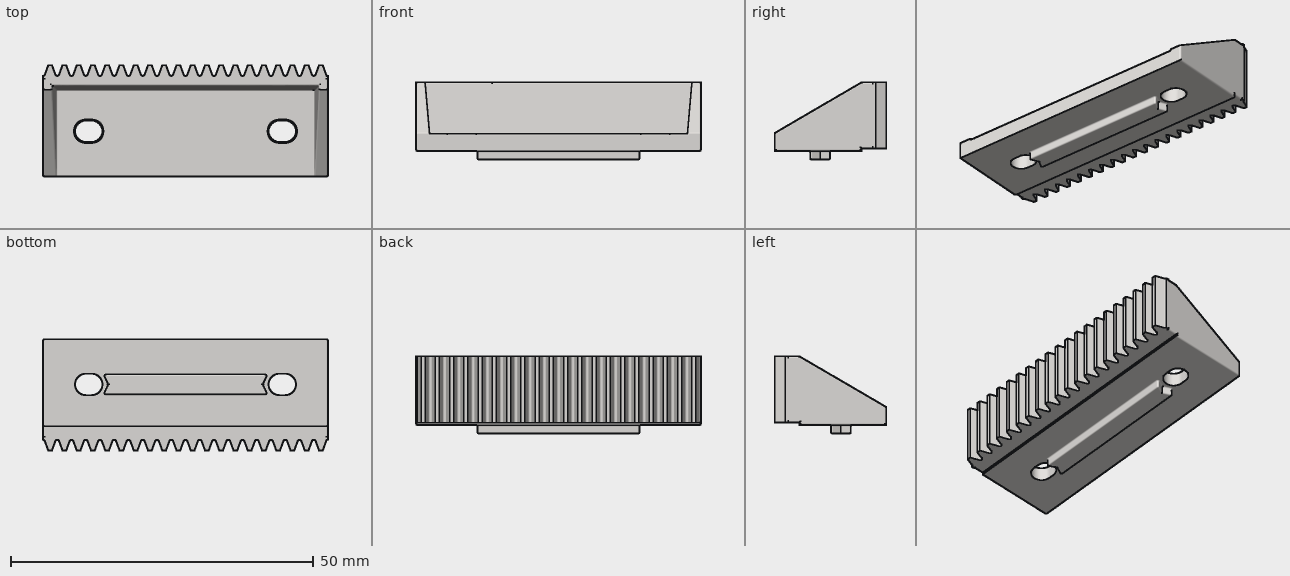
import cadquery as cq
import math

tolerance = 0.001

module = 0.75
tooth_count = 20
pressure_angle = math.radians(20)
pitch = math.pi * module
length = tooth_count * pitch
half_length = length / 2
tooth_depth = 1.77
root_radius = 0.3
rack_overlap = 0.5
tip_half_width = pitch / 4 - module * math.tan(pressure_angle)

tip_y = 18.44
root_y = tip_y - tooth_depth
top_z = 11.4
rack_bottom_z = 0.4
step_y = 14.4
ridge_y = 14.4
front_top_z = 3.0
floor_z = 2.85
end_edge_radius = 0.3

pocket_half_width = half_length - 2.25
pocket_back_y = 14.3
wall_draft_angle = 5
pocket_inner_radius = 0.2
rim_radius = 0.25
pocket_overrun = 5.0

slot_spacing = 32.0
slot_y = 7.5
slot_length = 4.5
slot_width = 3.5
slot_chamfer = 0.2

key_length = 27.1
key_width = 3.3
key_height = 1.4
key_notch_depth = 0.8
key_corner_radius = 0.25
key_tip_radius = 0.25
key_root_radius = 0.25


def make_body():
    """Side profile extruded along X."""
    profile = [
        (0, 0),
        (step_y, 0),
        (step_y, rack_bottom_z),
        (root_y, rack_bottom_z),
        (root_y, top_z),
        (ridge_y, top_z),
        (0, front_top_z),
    ]
    return cq.Workplane("YZ").polyline(profile).close().extrude(half_length, both=True)


def make_pocket():
    """Drafted pocket volume, running out of the body at the front and the top."""
    depth = top_z - floor_z
    spread = depth * math.tan(math.radians(wall_draft_angle))
    half_top = pocket_half_width + spread
    back_top = pocket_back_y + spread
    return (
        cq.Workplane("XY", origin=(0, 0, floor_z))
        .moveTo(0, (pocket_back_y - pocket_overrun) / 2)
        .rect(2 * pocket_half_width, pocket_back_y + pocket_overrun)
        .workplane(offset=depth)
        .moveTo(0, (back_top - pocket_overrun) / 2)
        .rect(2 * half_top, back_top + pocket_overrun)
        .loft(ruled=True)
    )


def round_rim(body):
    """Round the pocket's mouth and the upper edge of the front face."""
    slope = (top_z - front_top_z) / ridge_y
    spread = (top_z - floor_z) * math.tan(math.radians(wall_draft_angle))
    mouth_half_width = pocket_half_width + spread + tolerance

    def on_rim(point):
        on_top = abs(point.z - top_z) < tolerance
        on_slope = abs(point.z - front_top_z - slope * point.y) < tolerance
        on_front = abs(point.y) < tolerance and point.z > floor_z - tolerance
        in_mouth = abs(point.x) < mouth_half_width and point.y < root_y - tolerance
        return on_front or (in_mouth and (on_top or on_slope))

    rim = [
        edge
        for edge in body.edges().vals()
        if all(on_rim(edge.positionAt(t)) for t in (0, 0.5, 1))
    ]
    return body.newObject(rim).fillet(rim_radius)


def round_ends(body):
    """Round the outline of both end faces, except along the toothed side."""
    return body.faces("<X or >X").edges("not(>Y)").fillet(end_edge_radius)


def round_pocket_corners(body):
    """Fillet where the pocket's walls meet its floor and each other."""
    inside = cq.selectors.BoxSelector(
        (-half_length + 1.8, rim_radius, floor_z - tolerance),
        (half_length - 1.8, root_y - 1, top_z - 1),
    )
    return body.edges(inside).fillet(pocket_inner_radius)


def make_rack():
    """Teeth standing on the back face, with rounded roots between them."""
    base_half_width = tip_half_width + tooth_depth * math.tan(pressure_angle)
    rack = cq.Workplane("XY", origin=(0, 0, rack_bottom_z)).moveTo(-half_length, root_y)
    for i in range(tooth_count):
        center_x = -half_length + (i + 0.5) * pitch
        rack = (
            rack.lineTo(center_x - base_half_width, root_y)
            .lineTo(center_x - tip_half_width, tip_y)
            .lineTo(center_x + tip_half_width, tip_y)
            .lineTo(center_x + base_half_width, root_y)
        )
    embedded_y = root_y - rack_overlap
    rack = (
        rack.lineTo(half_length, root_y)
        .lineTo(half_length, embedded_y)
        .lineTo(-half_length, embedded_y)
        .close()
        .extrude(top_z - rack_bottom_z)
    )
    root_corners = cq.selectors.BoxSelector(
        (-half_length, root_y - tolerance, 0),
        (half_length, root_y + tolerance, top_z),
    )
    return rack.edges("|Z").edges(root_corners).edges("not(<X or >X)").fillet(root_radius)


def make_slots():
    """Slotted through holes with a chamfered mouth on the pocket floor."""
    centers = [(-slot_spacing / 2, slot_y), (slot_spacing / 2, slot_y)]
    slots = (
        cq.Workplane("XY")
        .pushPoints(centers)
        .slot2D(slot_length, slot_width)
        .extrude(floor_z)
    )
    mouths = (
        cq.Workplane("XY", origin=(0, 0, floor_z))
        .pushPoints(centers)
        .slot2D(slot_length + 2 * slot_chamfer, slot_width + 2 * slot_chamfer)
        .extrude(-2 * slot_chamfer, taper=45)
    )
    return slots.union(mouths)


def make_key():
    """Locating key with V-notched ends and rounded corners."""
    x = key_length / 2
    y = key_width / 2
    notch_x = x - key_notch_depth
    outline = [(-x, -y), (x, -y), (notch_x, 0), (x, y), (-x, y), (-notch_x, 0)]
    key = (
        cq.Workplane("XY", origin=(0, slot_y, 0))
        .polyline(outline)
        .close()
        .extrude(-key_height)
    )
    key = key.edges("|Z").edges("<X or >X").fillet(key_corner_radius)
    return key.faces("<Z").edges().fillet(key_tip_radius)


def round_key_root(body):
    """Fillet the joint between the key and the underside."""
    joint = cq.selectors.BoxSelector(
        (-key_length, slot_y - key_width, -tolerance),
        (key_length, slot_y + key_width, tolerance),
        boundingbox=True,
    )
    return body.edges(joint).fillet(key_root_radius)


body = make_body().cut(make_pocket())
body = round_rim(body)
body = round_ends(body)
body = round_pocket_corners(body)
body = body.union(make_rack()).union(make_key())
body = round_key_root(body)
result = body.cut(make_slots())